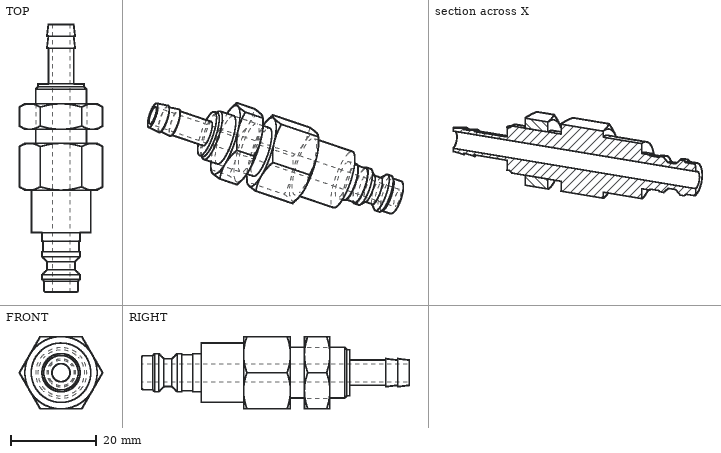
import cadquery as cq
import math

TOTAL_LENGTH = 63.0
BORE_DIAMETER = 4.2

HEX_ACROSS_FLATS = 17.0
HEX_SIDES = 6
HEX_ACROSS_CORNERS = HEX_ACROSS_FLATS / math.cos(math.pi / HEX_SIDES)
HEX_BEVEL_ANGLE = 30.0

TIP_RADIUS = 4.05
TIP_FILLET = 0.5
PLUG_RADIUS = 4.5
NECK_RADIUS = 3.3
RELIEF_RADIUS = 4.25
TIP_END = 2.6
COLLAR_START = TIP_END + (PLUG_RADIUS - TIP_RADIUS)
COLLAR_END = 4.05
NECK_START = COLLAR_END + (PLUG_RADIUS - NECK_RADIUS)
NECK_END = 7.15
LAND_START = NECK_END + (PLUG_RADIUS - NECK_RADIUS)
LAND_END = 9.5
RELIEF_END = 12.0

SLEEVE_RADIUS = 7.0
SLEEVE_START = 14.0
HEX_START = 24.0
HEX_LENGTH = 11.0
THREAD_RADIUS = 6.0
THREAD_END = 47.75
PILOT_RADIUS = 5.45
PILOT_START = THREAD_END + (THREAD_RADIUS - PILOT_RADIUS)
PILOT_END = 49.0

STEM_RADIUS = 3.0
BARB_RADIUS = 3.35
BARB_LENGTH = 2.8
BARB_COUNT = 2

NUT_START = 38.3
NUT_LENGTH = 6.0


def bevelled_hexagon(start, length):
    """Hexagonal prism along Y with the corners bevelled at both ends."""
    face_radius = HEX_ACROSS_FLATS / 2
    corner_radius = HEX_ACROSS_CORNERS / 2
    bevel_depth = (corner_radius - face_radius) * math.tan(math.radians(HEX_BEVEL_ANGLE))
    end = start + length
    prism = (
        cq.Workplane("XZ", origin=(0, start, 0))
        .polygon(HEX_SIDES, HEX_ACROSS_CORNERS)
        .extrude(-length)
    )
    bevel = (
        cq.Workplane("XY")
        .moveTo(0, start)
        .lineTo(face_radius, start)
        .lineTo(corner_radius, start + bevel_depth)
        .lineTo(corner_radius, end - bevel_depth)
        .lineTo(face_radius, end)
        .lineTo(0, end)
        .close()
        .revolve(360, (0, 0, 0), (0, 1, 0))
    )
    return prism.intersect(bevel)


def make_coupling():
    """Turned body with plug, sleeve, hexagon, thread and hose barb, bored right through."""
    fillet_middle = TIP_FILLET * (1 - math.sqrt(0.5))
    outline = (
        cq.Workplane("XY")
        .lineTo(TIP_RADIUS - TIP_FILLET, 0)
        .threePointArc((TIP_RADIUS - fillet_middle, fillet_middle), (TIP_RADIUS, TIP_FILLET))
        .lineTo(TIP_RADIUS, TIP_END)
        .lineTo(PLUG_RADIUS, COLLAR_START)
        .lineTo(PLUG_RADIUS, COLLAR_END)
        .lineTo(NECK_RADIUS, NECK_START)
        .lineTo(NECK_RADIUS, NECK_END)
        .lineTo(PLUG_RADIUS, LAND_START)
        .lineTo(PLUG_RADIUS, LAND_END)
        .lineTo(RELIEF_RADIUS, LAND_END)
        .lineTo(RELIEF_RADIUS, RELIEF_END)
        .lineTo(PLUG_RADIUS, RELIEF_END)
        .lineTo(PLUG_RADIUS, SLEEVE_START)
        .lineTo(SLEEVE_RADIUS, SLEEVE_START)
        .lineTo(SLEEVE_RADIUS, HEX_START)
        .lineTo(THREAD_RADIUS, HEX_START)
        .lineTo(THREAD_RADIUS, THREAD_END)
        .lineTo(PILOT_RADIUS, PILOT_START)
        .lineTo(PILOT_RADIUS, PILOT_END)
        .lineTo(STEM_RADIUS, PILOT_END)
        .lineTo(STEM_RADIUS, TOTAL_LENGTH - BARB_COUNT * BARB_LENGTH)
    )
    for barb in range(BARB_COUNT, 0, -1):
        barb_start = TOTAL_LENGTH - barb * BARB_LENGTH
        barb_end = barb_start + BARB_LENGTH
        outline = outline.lineTo(BARB_RADIUS, barb_start).lineTo(STEM_RADIUS, barb_end)
    turned = outline.lineTo(0, TOTAL_LENGTH).close().revolve(360, (0, 0, 0), (0, 1, 0))
    bore = cq.Workplane("XZ").circle(BORE_DIAMETER / 2).extrude(-TOTAL_LENGTH)
    return turned.union(bevelled_hexagon(HEX_START, HEX_LENGTH)).cut(bore)


def make_lock_nut():
    """Hexagonal nut sitting on the threaded length of the coupling."""
    hole = (
        cq.Workplane("XZ", origin=(0, NUT_START, 0))
        .circle(THREAD_RADIUS)
        .extrude(-NUT_LENGTH)
    )
    return bevelled_hexagon(NUT_START, NUT_LENGTH).cut(hole)


coupling = make_coupling()
lock_nut = make_lock_nut()

result = cq.Compound.makeCompound([coupling.val(), lock_nut.val()])